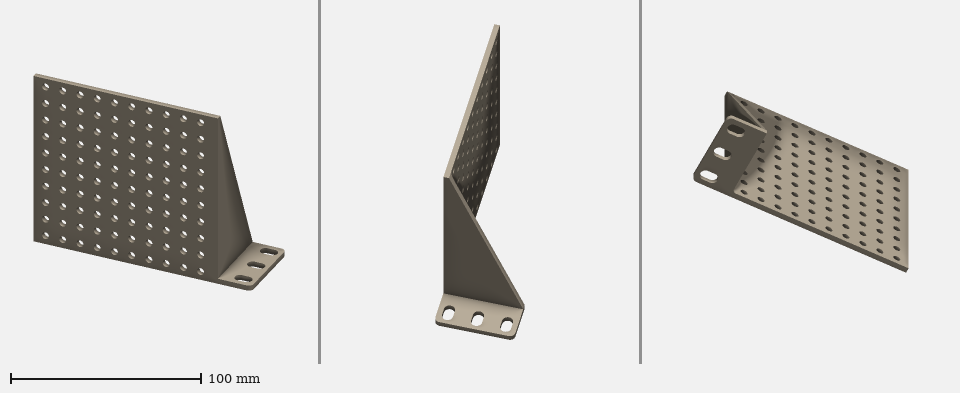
import cadquery as cq

length = 126.5
depth = 43.4
height = 100.0

thickness = 3.0
plate_length = 107.0
inner_corner_radius = 2.0
ear_corner_radius = 2.9

grid_count = 10
grid_pitch = height / grid_count
grid_hole_diameter = 4.0
grid_first_x = 7.0
grid_first_z = grid_pitch / 2

end_hole_diameter = 2.0
end_hole_depth = 4.0
end_hole_count = 3

slot_count = 3
slot_pitch = 15.8
slot_length = 10.0
slot_width = 6.0
slot_to_ear_end = 7.3


def perforated_plate():
    """Upright plate lying along X, with its front face at Y = 0."""
    plate = cq.Workplane("XY").box(plate_length, thickness, height, centered=False)
    grid_points = [
        (grid_first_x + column * grid_pitch, grid_first_z + row * grid_pitch)
        for column in range(grid_count)
        for row in range(grid_count)
    ]
    holes = (
        cq.Workplane("XZ")
        .pushPoints(grid_points)
        .circle(grid_hole_diameter / 2)
        .extrude(-thickness)
    )
    return plate.cut(holes)


def gusset():
    """Triangular side wall, sloping from the top of the plate down to the ear surface."""
    return (
        cq.Workplane("YZ", origin=(plate_length - thickness, 0, 0))
        .moveTo(0, 0)
        .lineTo(depth, 0)
        .lineTo(depth, thickness)
        .lineTo(thickness, height)
        .lineTo(0, height)
        .close()
        .extrude(thickness)
    )


def inner_corner_fillet():
    """Concave fillet between plate and gusset, trimmed by the gusset's slope."""
    corner_x = plate_length - thickness
    fillet = (
        cq.Workplane("XY")
        .moveTo(corner_x, thickness)
        .lineTo(corner_x - inner_corner_radius, thickness)
        .radiusArc((corner_x, thickness + inner_corner_radius), -inner_corner_radius)
        .close()
        .extrude(height)
    )
    slope_envelope = gusset().translate((-thickness, 0, 0))
    return fillet.intersect(slope_envelope)


def mounting_ear():
    """Flat ear on the floor beyond the gusset, with rounded outer corners and slots."""
    ear = (
        cq.Workplane("XY", origin=(plate_length, 0, 0))
        .box(length - plate_length, depth, thickness, centered=False)
        .edges("|Z and >X")
        .fillet(ear_corner_radius)
    )
    slots = (
        cq.Workplane("XY", origin=(length - slot_to_ear_end, depth / 2, 0))
        .rarray(1.3, slot_pitch, 1, slot_count)
        .slot2D(slot_length, slot_width)
        .extrude(thickness)
    )
    return ear.cut(slots)


def end_holes():
    """Blind holes along X, evenly spaced up the middle of the plate's free end."""
    spacing = height / (end_hole_count + 1)
    centers = [(thickness / 2, spacing * (index + 1)) for index in range(end_hole_count)]
    return (
        cq.Workplane("YZ")
        .pushPoints(centers)
        .circle(end_hole_diameter / 2)
        .extrude(end_hole_depth)
    )


result = (
    perforated_plate()
    .union(gusset())
    .union(inner_corner_fillet())
    .union(mounting_ear())
    .cut(end_holes())
)